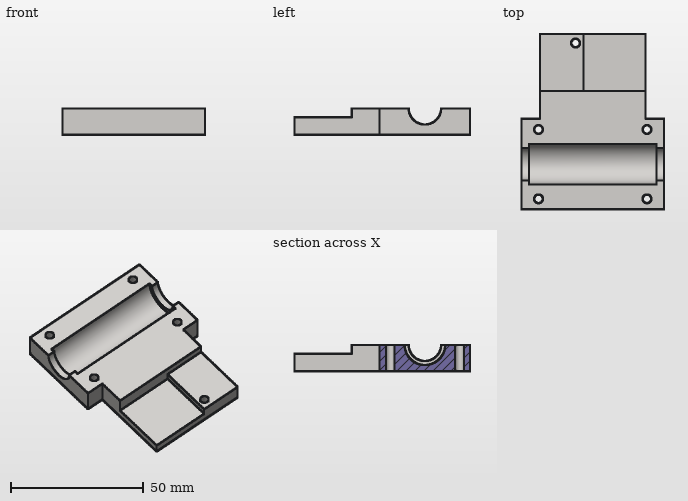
import cadquery as cq

length_x = 54.0
base_y = 34.3
height = 10.0

total_y = 66.35
tongue_width = 39.95
tongue_left = (length_x - tongue_width) / 2
tongue_length = total_y - base_y

shelf_length = 21.55
shelf_start = total_y - shelf_length
shelf_height = 6.65
low_shelf_height = 3.85
low_shelf_width = 23.4
low_shelf_left = tongue_left + tongue_width - low_shelf_width

channel_y = 17.05
end_radius = 6.1
bore_radius = 7.6
end_wall = 2.9

hole_diameter = 3.2
hole_spacing_x = 41.0
hole_spacing_y = 26.2
shelf_hole_x = 20.5
shelf_hole_back_offset = 3.5


def block(corner, size):
    """Box placed by its lowest corner."""
    return cq.Workplane("XY").box(*size, centered=False).translate(corner)


def shelf_cut(left, floor, width):
    """Material above a shelf floor, from the shelf step to the back face."""
    return block((left, shelf_start, floor), (width, shelf_length, height - floor))


def channel(radius, start_x, end_x):
    """Cylinder along X with its axis in the top face of the base."""
    return (
        cq.Workplane("YZ", origin=(start_x, channel_y, height))
        .circle(radius)
        .extrude(end_x - start_x)
    )


base = block((0, 0, 0), (length_x, base_y, height))
tongue = block((tongue_left, base_y, 0), (tongue_width, tongue_length, height))
body = base.union(tongue)

body = body.cut(shelf_cut(tongue_left, shelf_height, tongue_width))
body = body.cut(shelf_cut(low_shelf_left, low_shelf_height, low_shelf_width))

body = body.cut(channel(end_radius, 0, length_x))
body = body.cut(channel(bore_radius, end_wall, length_x - end_wall))

hole_points = [
    (length_x / 2 + side_x * hole_spacing_x / 2, channel_y + side_y * hole_spacing_y / 2)
    for side_x in (-1, 1)
    for side_y in (-1, 1)
]
hole_points.append((shelf_hole_x, total_y - shelf_hole_back_offset))
holes = cq.Workplane("XY").pushPoints(hole_points).circle(hole_diameter / 2).extrude(height)

result = body.cut(holes)